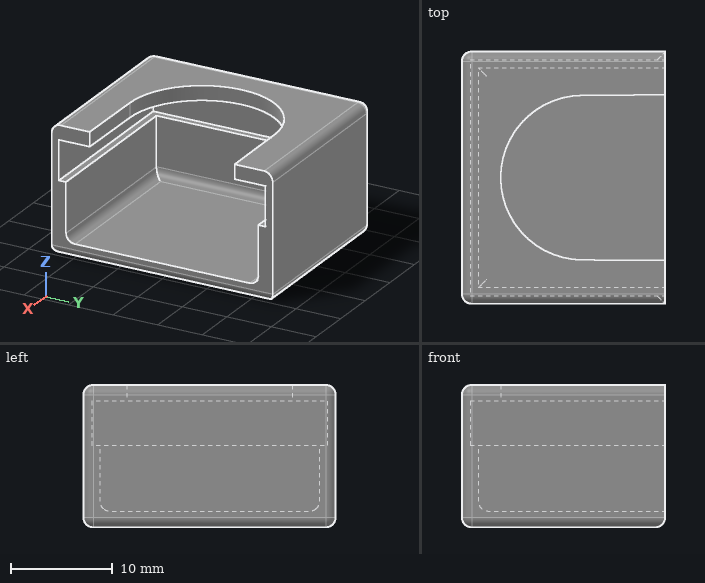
import cadquery as cq

length = 20.0
width = 24.8
height = 14.0
edge_radius = 1.0

wall = 1.6
floor = 1.6
lip = 1.59
floor_radius = 1.0
ledge_depth = 5.95
ledge_width = 0.8

opening_radius = 8.08
opening_apex = 3.82
opening_end_width = 16.27

closed_end = -length / 2
open_end = length / 2
top = height / 2
bottom = -height / 2


def open_ended_box(inset, z_low, z_high):
    """Box inset from three sides of the block and reaching its open end."""
    return cq.Workplane("XY").box(
        length - inset, width - 2 * inset, z_high - z_low, centered=(False, True, False)
    ).translate((closed_end + inset, 0, z_low))


def rounded_block():
    """Block with every edge rounded except the top and upright edges of the open end."""
    block = cq.Workplane("XY").box(length, width, height)
    return block.edges("<X or <Z or (|X and >Z)").fillet(edge_radius)


def cavity():
    """Main hollow with a rounded floor, widened into a groove above the ledge."""
    ledge_level = top - ledge_depth
    ceiling = top - lip
    hollow = open_ended_box(wall, bottom + floor, ceiling)
    hollow = hollow.edges("<Z and (|X or <X)").fillet(floor_radius)
    groove = open_ended_box(wall - ledge_width, ledge_level, ceiling)
    return hollow.union(groove)


def top_opening():
    """U-shaped cut through the top plate, down to the cavity ceiling."""
    apex = closed_end + opening_apex
    arc_centre = apex + opening_radius
    half_end = opening_end_width / 2
    return (
        cq.Workplane("XY", origin=(0, 0, top - lip))
        .moveTo(open_end, -half_end)
        .lineTo(arc_centre, -opening_radius)
        .threePointArc((apex, 0), (arc_centre, opening_radius))
        .lineTo(open_end, half_end)
        .close()
        .extrude(lip)
    )


result = rounded_block().cut(cavity()).cut(top_opening())